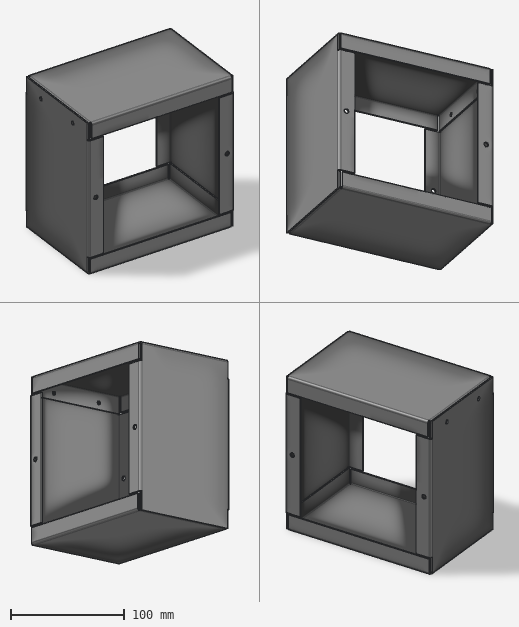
import cadquery as cq


width = 101.6
side = 154.0
sheet = 1.46
flange_depth = 15.9
lip_height = 17.4
relief = 1.7
flange_hole = 4.3
flange_hole_inset = 7.7
wall_hole = 3.7
lip_hole = 3.4
screw_drop = 11.2

half_width = width / 2
half_side = side / 2
inner_bend = sheet / 2
bend = inner_bend + sheet
flat_half_width = half_width - bend
lip_face = half_side - sheet
wall_flange_end = half_side - flange_depth - relief
screw_spacing = width / 2
screw_z = half_side - screw_drop


def folded_sheet():
    """Front wall, floor and rear lip: one folded strip between the side folds."""
    floor_top = -half_side + sheet
    lip_top = -half_side + lip_height
    return (
        cq.Workplane("YZ", origin=(-flat_half_width, 0, 0))
        .moveTo(-half_side, half_side)
        .lineTo(-half_side, -half_side + bend)
        .radiusArc((-half_side + bend, -half_side), -bend)
        .lineTo(lip_face - bend, -half_side)
        .radiusArc((lip_face, -half_side + bend), -bend)
        .lineTo(lip_face, lip_top)
        .lineTo(lip_face - sheet, lip_top)
        .lineTo(lip_face - sheet, -half_side + bend)
        .radiusArc((lip_face - bend, floor_top), inner_bend)
        .lineTo(-half_side + bend, floor_top)
        .radiusArc((-half_side + sheet, -half_side + bend), inner_bend)
        .lineTo(-half_side + sheet, half_side)
        .close()
        .extrude(2 * flat_half_width)
    )


def flange_outline(plane):
    """Closed section of a folded edge at +X, rising from a flat whose outer face is at -half_side."""
    outer_face = -half_side
    flange_top = outer_face + flange_depth
    return (
        plane
        .moveTo(flat_half_width, outer_face)
        .radiusArc((half_width, outer_face + bend), -bend)
        .lineTo(half_width, flange_top)
        .lineTo(half_width - sheet, flange_top)
        .lineTo(half_width - sheet, outer_face + bend)
        .radiusArc((flat_half_width, outer_face + sheet), inner_bend)
        .close()
    )


def wall_flanges():
    """Upright flanges on both X edges of the front wall, each with a fixing hole."""
    section = flange_outline(cq.Workplane("XY", origin=(0, 0, -wall_flange_end)))
    flange = section.extrude(2 * wall_flange_end)
    hole = (
        cq.Workplane("YZ")
        .center(-half_side + flange_hole_inset, 0)
        .circle(flange_hole / 2)
        .extrude(width)
    )
    flange = flange.cut(hole)
    return flange.union(flange.mirror("YZ"))


def floor_flanges():
    """Flanges on both X edges of the floor, running between its front and rear folds."""
    front_end = -half_side + bend
    rear_end = lip_face - bend
    section = flange_outline(cq.Workplane("XZ", origin=(0, front_end, 0)))
    flange = section.extrude(-(rear_end - front_end))
    return flange.union(flange.mirror("YZ"))


def shell():
    """One complete L-shaped shell in the lower position, without its screw holes."""
    return folded_sheet().union(wall_flanges()).union(floor_flanges())


def front_screw_holes(diameter):
    """Cutters along Y, from the front face to mid-depth, for the two screws near the top."""
    return (
        cq.Workplane("XZ", origin=(0, -half_side, screw_z))
        .pushPoints([(-screw_spacing / 2, 0), (screw_spacing / 2, 0)])
        .circle(diameter / 2)
        .extrude(-half_side)
    )


lower_shell = shell().cut(front_screw_holes(wall_hole))
upper_shell = shell().rotate((0, 0, 0), (1, 0, 0), 180).cut(front_screw_holes(lip_hole))

result = cq.Compound.makeCompound([lower_shell.val(), upper_shell.val()])